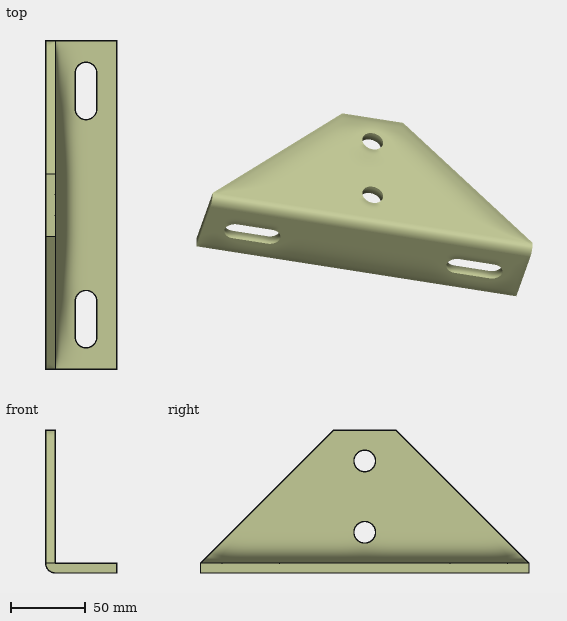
import cadquery as cq

width = 47.5
length = 219.2
height = 95.4
thickness = 6.5

hole_diameter = 14.3
slot_length = 38.1
slot_x = 27.0
slot_spacing = 152.2
upper_hole_z = 74.8
lower_hole_z = 27.2

top_edge_length = length - 2 * (height - thickness)

def make_base():
    """Flat flange, with the outer edge of the bend rounded."""
    return (
        cq.Workplane("XZ")
        .moveTo(thickness, 0)
        .lineTo(width, 0)
        .lineTo(width, thickness)
        .lineTo(0, thickness)
        .radiusArc((thickness, 0), -thickness)
        .close()
        .extrude(length / 2, both=True)
    )

def make_upright():
    """Trapezoidal plate standing on the bend."""
    return (
        cq.Workplane("YZ")
        .moveTo(-length / 2, thickness)
        .lineTo(length / 2, thickness)
        .lineTo(top_edge_length / 2, height)
        .lineTo(-top_edge_length / 2, height)
        .close()
        .extrude(thickness)
    )

def make_slots():
    return (
        cq.Workplane("XY")
        .pushPoints([(slot_x, -slot_spacing / 2), (slot_x, slot_spacing / 2)])
        .slot2D(slot_length, hole_diameter, 90)
        .extrude(thickness)
    )

def make_holes():
    return (
        cq.Workplane("YZ")
        .pushPoints([(0, lower_hole_z), (0, upper_hole_z)])
        .circle(hole_diameter / 2)
        .extrude(thickness)
    )

result = make_base().union(make_upright()).cut(make_slots()).cut(make_holes())